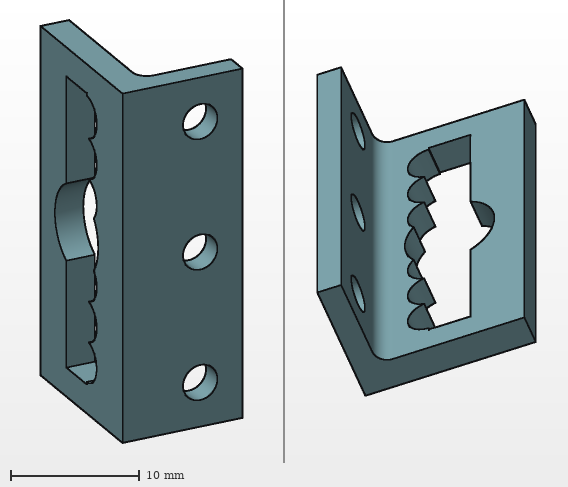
import cadquery as cq

width = 14.26
depth = 10.5
height = 30.0
front_leg_thickness = 2.5
side_leg_thickness = 2.0
inner_fillet_radius = 1.25

slot_center_x = width - 8.0
slot_center_z = height / 2
slot_width = 3.5
slot_end_margin = 2.5
slot_length = height - 2 * slot_end_margin
entry_hole_diameter = 7.5

notch_radius = 1.8
notch_pitch = 3.5
notch_count = 7
notch_center_x = width - 6.3

mount_hole_diameter = 3.0
mount_hole_count = 3
mount_hole_pitch = 11.2
mount_hole_y = depth - 3.7


def centered_offsets(count, pitch):
    """Return evenly spaced offsets, symmetric about zero."""
    return [(index - (count - 1) / 2) * pitch for index in range(count)]


def make_angle():
    """L-shaped profile extruded along Z, with its inside corner rounded."""
    side_leg_inner_x = width - side_leg_thickness
    return (
        cq.Workplane("XY")
        .moveTo(0, 0)
        .lineTo(width, 0)
        .lineTo(width, depth)
        .lineTo(side_leg_inner_x, depth)
        .lineTo(side_leg_inner_x, front_leg_thickness + inner_fillet_radius)
        .radiusArc(
            (side_leg_inner_x - inner_fillet_radius, front_leg_thickness),
            inner_fillet_radius,
        )
        .lineTo(0, front_leg_thickness)
        .close()
        .extrude(height)
    )


def front_leg_plane():
    """Sketch plane on the outer face of the front leg, with local axes X and Z."""
    return cq.Workplane("XZ")


def make_slot_cutter():
    """Straight slot, round entry hole and notches, as deep as the front leg is thick."""
    cut_distance = -front_leg_thickness
    straight_slot = (
        front_leg_plane()
        .center(slot_center_x, slot_center_z)
        .rect(slot_width, slot_length)
        .extrude(cut_distance)
    )
    entry_hole = (
        front_leg_plane()
        .center(slot_center_x, slot_center_z)
        .circle(entry_hole_diameter / 2)
        .extrude(cut_distance)
    )
    cutter = straight_slot.union(entry_hole)
    for offset in centered_offsets(notch_count, notch_pitch):
        notch = (
            front_leg_plane()
            .center(notch_center_x, slot_center_z + offset)
            .circle(notch_radius)
            .extrude(cut_distance)
        )
        cutter = cutter.union(notch)
    return cutter


def make_mount_hole_cutter():
    """Row of round holes along X through the side leg."""
    hole_points = [
        (mount_hole_y, height / 2 + offset)
        for offset in centered_offsets(mount_hole_count, mount_hole_pitch)
    ]
    return (
        cq.Workplane("YZ", origin=(width - side_leg_thickness, 0, 0))
        .pushPoints(hole_points)
        .circle(mount_hole_diameter / 2)
        .extrude(side_leg_thickness)
    )


result = make_angle().cut(make_slot_cutter()).cut(make_mount_hole_cutter())